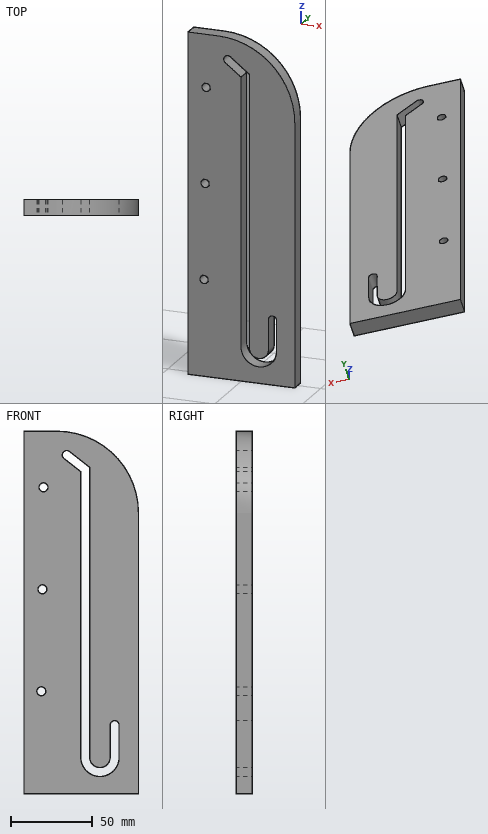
import cadquery as cq
import math

width = 70.0
thickness = 10.0
height = 221.6
corner_radius = 50.0

hole_diameter = 5.3
hole_count = 3
lowest_hole_x = 10.6
lowest_hole_z = 62.7
hole_step_x = 0.7
hole_step_z = 62.3

slot_width = 5.3
entry_x = 26.2
entry_z = 207.0
long_leg_x = 37.5
bend_z = 198.1
short_leg_x = 55.5
turn_z = 22.4
short_leg_end_z = 42.0


def make_plate():
    """Rectangular plate with a large round at its upper +X corner."""
    plate = cq.Workplane("XY").box(width, thickness, height, centered=False)
    return plate.edges("|Y and >X and >Z").fillet(corner_radius)


def cutting_plane():
    """XZ workplane on the back face, extruding toward the front face."""
    return cq.Workplane("XZ", origin=(0, thickness, 0))


def make_holes():
    centers = [
        (lowest_hole_x + i * hole_step_x, lowest_hole_z + i * hole_step_z)
        for i in range(hole_count)
    ]
    return cutting_plane().pushPoints(centers).circle(hole_diameter / 2).extrude(thickness)


def make_guide_slot():
    """Constant-width slot with rounded ends and a mitred bend."""
    half = slot_width / 2
    run = long_leg_x - entry_x
    drop = entry_z - bend_z
    length = math.hypot(run, drop)
    along_x, along_z = run / length, -drop / length
    normal_x, normal_z = -along_z * half, along_x * half

    leg_turn = math.pi / 2 - math.atan2(drop, run)
    miter_rise = half * math.tan(leg_turn / 2)

    turn_x = (long_leg_x + short_leg_x) / 2
    turn_radius = (short_leg_x - long_leg_x) / 2

    return (
        cutting_plane()
        .moveTo(entry_x - normal_x, entry_z - normal_z)
        .lineTo(long_leg_x - half, bend_z - miter_rise)
        .lineTo(long_leg_x - half, turn_z)
        .threePointArc((turn_x, turn_z - turn_radius - half), (short_leg_x + half, turn_z))
        .lineTo(short_leg_x + half, short_leg_end_z)
        .threePointArc((short_leg_x, short_leg_end_z + half), (short_leg_x - half, short_leg_end_z))
        .lineTo(short_leg_x - half, turn_z)
        .threePointArc((turn_x, turn_z - turn_radius + half), (long_leg_x + half, turn_z))
        .lineTo(long_leg_x + half, bend_z + miter_rise)
        .lineTo(entry_x + normal_x, entry_z + normal_z)
        .threePointArc(
            (entry_x - along_x * half, entry_z - along_z * half),
            (entry_x - normal_x, entry_z - normal_z),
        )
        .close()
        .extrude(thickness)
    )


result = make_plate().cut(make_holes()).cut(make_guide_slot())